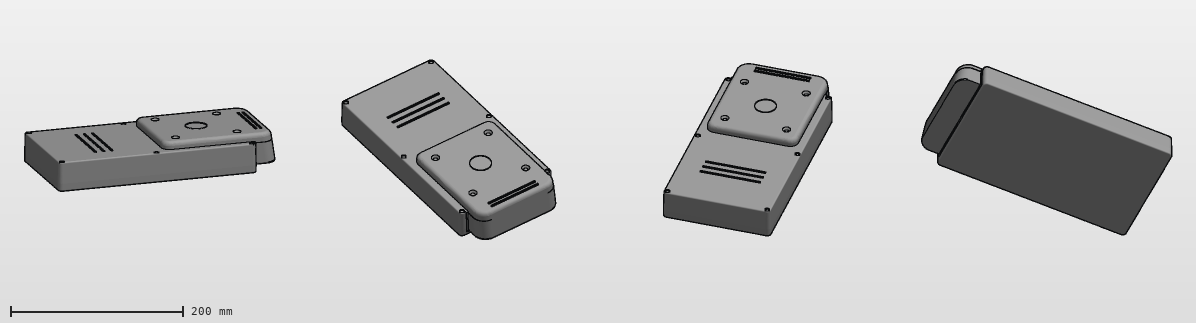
import cadquery as cq
import math


BODY_WIDTH = 131.0
BODY_LENGTH = 242.0
BODY_HEIGHT = 35.0
TRAY_HEIGHT = 9.4
TRAY_DRAFT_ANGLE = 0.7
LID_DRAFT_ANGLE = 1.3
BODY_CORNER_RADIUS = 5.0
BODY_TOP_FILLET = 1.7
BODY_BOTTOM_FILLET = 1.7

POD_TOP = 43.7
POD_BOTTOM = 7.4
POD_FRONT = 131.6
POD_BACK = 270.8
POD_BASE_WIDTH = 112.0
POD_SIDE_DRAFT_ANGLE = 1.0
POD_BACK_DRAFT_ANGLE = 8.2
POD_FRONT_RADIUS = 10.0
POD_BACK_RADIUS = 15.0
POD_TOP_FILLET = 5.0
POD_LEDGE_HEIGHT = BODY_HEIGHT - BODY_TOP_FILLET
POD_LEDGE_WIDTH = 0.5
POD_BOTTOM_CHAMFER_HEIGHT = 1.5
POD_BOTTOM_CHAMFER_WIDTH = 0.4
POD_CHAMFER_TOP = POD_BOTTOM + POD_BOTTOM_CHAMFER_HEIGHT

WEB_SIDE_MARGIN = 1.8
WEB_BOTTOM = 5.9
WEB_TOP = BODY_HEIGHT
WEB_BASE_THICKNESS = 1.3
WEB_TOP_THICKNESS = 0.4

MOUNT_CENTER_Y = 189.0
MOUNT_SPACING = 75.0
MOUNT_TOP_DIAMETER = 9.5
MOUNT_FLOOR_DIAMETER = 5.0
MOUNT_DEPTH = 2.5
DISC_DIAMETER = 25.4
DISC_DEPTH = 1.0

GROOVE_WIDTH = 2.0
GROOVE_DEPTH = 1.0
POD_GROOVE_LENGTH = 66.5
POD_GROOVE_Y = (251.3, 257.2)
BODY_GROOVE_LENGTH = 73.0
BODY_GROOVE_COUNT = 3
BODY_GROOVE_PITCH = 10.0
BODY_GROOVE_FIRST_Y = 54.5

SCREW_DIAMETER = 5.7
SCREW_DEPTH = 1.6
SCREW_EDGE_OFFSET = 5.0
SCREW_MIDDLE_Y = 120.5


def body_block(bottom_z, height, taper):
    """Round-cornered block that starts with the full body footprint and narrows by the taper."""
    return (
        cq.Workplane("XY", origin=(0, BODY_LENGTH / 2, bottom_z))
        .sketch()
        .rect(BODY_WIDTH, BODY_LENGTH)
        .vertices()
        .fillet(BODY_CORNER_RADIUS)
        .finalize()
        .extrude(height, taper=taper)
    )


def make_body():
    tray = body_block(TRAY_HEIGHT, -TRAY_HEIGHT, TRAY_DRAFT_ANGLE)
    tray = tray.faces("<Z").edges().fillet(BODY_BOTTOM_FILLET)
    lid = body_block(TRAY_HEIGHT, BODY_HEIGHT - TRAY_HEIGHT, LID_DRAFT_ANGLE)
    lid = lid.faces(">Z").edges().fillet(BODY_TOP_FILLET)
    return tray.union(lid)


def pod_outline(z, side_inset=0.0, back_inset=0.0):
    """Closed pod outline at height z, drafted and inset at the sides and the back."""
    rise = z - POD_CHAMFER_TOP
    half_width = POD_BASE_WIDTH / 2 - rise * math.tan(math.radians(POD_SIDE_DRAFT_ANGLE)) - side_inset
    back = POD_BACK - rise * math.tan(math.radians(POD_BACK_DRAFT_ANGLE)) - back_inset
    front = POD_FRONT
    front_radius = POD_FRONT_RADIUS
    back_radius = POD_BACK_RADIUS
    return (
        cq.Workplane("XY", origin=(0, 0, z))
        .moveTo(-half_width + front_radius, front)
        .lineTo(half_width - front_radius, front)
        .radiusArc((half_width, front + front_radius), -front_radius)
        .lineTo(half_width, back - back_radius)
        .radiusArc((half_width - back_radius, back), -back_radius)
        .lineTo(-half_width + back_radius, back)
        .radiusArc((-half_width, back - back_radius), -back_radius)
        .lineTo(-half_width, front + front_radius)
        .radiusArc((-half_width + front_radius, front), -front_radius)
        .close()
        .wire()
        .val()
    )


def pod_section(bottom_outline, top_outline):
    """Solid slice of the pod between two outlines."""
    return cq.Workplane(cq.Solid.makeLoft([bottom_outline, top_outline], True))


def make_pod():
    rim = pod_outline(POD_CHAMFER_TOP)
    foot = pod_section(
        pod_outline(POD_BOTTOM, POD_BOTTOM_CHAMFER_WIDTH, POD_BOTTOM_CHAMFER_WIDTH), rim
    )
    skirt = pod_section(rim, pod_outline(POD_LEDGE_HEIGHT))
    cap = pod_section(
        pod_outline(POD_LEDGE_HEIGHT, POD_LEDGE_WIDTH), pod_outline(POD_TOP, POD_LEDGE_WIDTH)
    )
    cap = cap.faces(">Z").edges().fillet(POD_TOP_FILLET)
    return foot.union(skirt).union(cap)


def make_web():
    """Thin web behind the body, thicker at its foot and rooted inside the body."""
    width = POD_BASE_WIDTH + 2 * WEB_SIDE_MARGIN
    root_y = BODY_LENGTH - BODY_CORNER_RADIUS
    return (
        cq.Workplane("YZ", origin=(-width / 2, 0, 0))
        .moveTo(root_y, WEB_BOTTOM)
        .lineTo(BODY_LENGTH + WEB_BASE_THICKNESS, WEB_BOTTOM)
        .lineTo(BODY_LENGTH + WEB_TOP_THICKNESS, WEB_TOP)
        .lineTo(root_y, WEB_TOP)
        .close()
        .extrude(width)
    )


def groove(length, y, top_z):
    return cq.Workplane("XY", origin=(0, y, top_z)).rect(length, GROOVE_WIDTH).extrude(-GROOVE_DEPTH)


def round_recess(x, y, top_z, diameter, depth):
    return cq.Workplane("XY", origin=(x, y, top_z)).circle(diameter / 2).extrude(-depth)


def mount_recess(x, y):
    """Conical recess with a flat floor."""
    cone = cq.Solid.makeCone(
        MOUNT_TOP_DIAMETER / 2,
        MOUNT_FLOOR_DIAMETER / 2,
        MOUNT_DEPTH,
        pnt=cq.Vector(x, y, POD_TOP),
        dir=cq.Vector(0, 0, -1),
    )
    return cq.Workplane(cone)


def cut_body_details(body):
    for index in range(BODY_GROOVE_COUNT):
        y = BODY_GROOVE_FIRST_Y + index * BODY_GROOVE_PITCH
        body = body.cut(groove(BODY_GROOVE_LENGTH, y, BODY_HEIGHT))
    screw_x = BODY_WIDTH / 2 - SCREW_EDGE_OFFSET
    for y in (SCREW_EDGE_OFFSET, SCREW_MIDDLE_Y, BODY_LENGTH - SCREW_EDGE_OFFSET):
        for x in (-screw_x, screw_x):
            body = body.cut(round_recess(x, y, BODY_HEIGHT, SCREW_DIAMETER, SCREW_DEPTH))
    return body


def cut_pod_details(pod):
    for y in POD_GROOVE_Y:
        pod = pod.cut(groove(POD_GROOVE_LENGTH, y, POD_TOP))
    pod = pod.cut(round_recess(0, MOUNT_CENTER_Y, POD_TOP, DISC_DIAMETER, DISC_DEPTH))
    half_spacing = MOUNT_SPACING / 2
    for x in (-half_spacing, half_spacing):
        for y in (MOUNT_CENTER_Y - half_spacing, MOUNT_CENTER_Y + half_spacing):
            pod = pod.cut(mount_recess(x, y))
    return pod


body = cut_body_details(make_body().union(make_web()))
pod = cut_pod_details(make_pod())
result = body.union(pod)